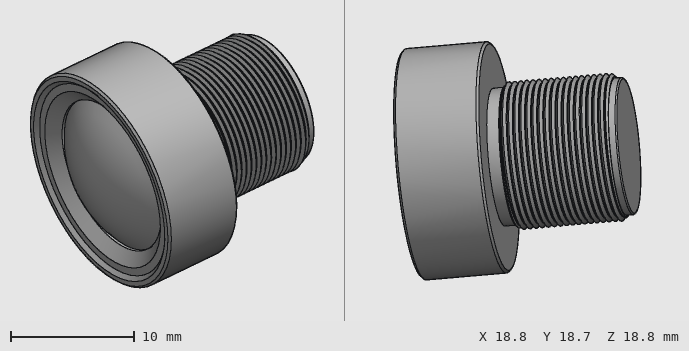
import cadquery as cq
import math


head_length = 7.0
neck_length = 1.0
thread_length = 9.0
stub_length = 0.66
head_rear = head_length
thread_start = head_rear + neck_length
thread_end = thread_start + thread_length
barrel_end = thread_end + stub_length

head_radius = 9.4
head_chamfer = 0.2
neck_radius = 5.6
stub_radius = 5.58
stub_chamfer = 0.12

rim_inner_radius = 8.77
ledge_outer_radius = 8.42
ledge_inner_radius = 7.73
ledge_depth = 0.35
lens_radius = 6.63
lens_seat_height = 0.25

dome_height = 1.0
dome_sphere_radius = 10.0

thread_radius = 6.0
pitch = 0.5
flank_angle = math.radians(30)
thread_depth = 0.6134 * pitch
crest_width = pitch / 8
root_radius = thread_radius - thread_depth
thread_chamfer = 0.3
groove_phase = (barrel_end - thread_start) % pitch


def dome_y(radius):
    """Axial position of the lens surface at a given radius."""
    sphere_centre = dome_sphere_radius - dome_height
    return sphere_centre - math.sqrt(dome_sphere_radius**2 - radius**2)


def revolve_about_y(outline):
    return outline.close().revolve(360, (0, 0, 0), (0, 1, 0))


def make_head():
    """Head with its stepped front recess and the domed lens."""
    mid_radius = lens_radius / 2
    lens_edge = dome_y(lens_radius)
    outline = (
        cq.Workplane("XY")
        .moveTo(0, -dome_height)
        .threePointArc((mid_radius, dome_y(mid_radius)), (lens_radius, lens_edge))
        .lineTo(lens_radius, lens_edge - lens_seat_height)
        .lineTo(ledge_inner_radius, ledge_depth)
        .lineTo(ledge_outer_radius, ledge_depth)
        .lineTo(rim_inner_radius, 0)
        .lineTo(head_radius - head_chamfer, 0)
        .lineTo(head_radius, head_chamfer)
        .lineTo(head_radius, head_rear - head_chamfer)
        .lineTo(head_radius - head_chamfer, head_rear)
        .lineTo(0, head_rear)
    )
    return revolve_about_y(outline)


def make_barrel():
    """Neck, chamfered thread blank and rear stub."""
    chamfer_radius = thread_radius - thread_chamfer
    outline = (
        cq.Workplane("XY")
        .moveTo(0, head_rear)
        .lineTo(neck_radius, head_rear)
        .lineTo(neck_radius, thread_start)
        .lineTo(chamfer_radius, thread_start)
        .lineTo(thread_radius, thread_start + thread_chamfer)
        .lineTo(thread_radius, thread_end - thread_chamfer)
        .lineTo(chamfer_radius, thread_end)
        .lineTo(stub_radius, thread_end)
        .lineTo(stub_radius, barrel_end - stub_chamfer)
        .lineTo(stub_radius - stub_chamfer, barrel_end)
        .lineTo(0, barrel_end)
    )
    return revolve_about_y(outline)


def make_thread_groove():
    """Right-handed helical groove that overruns both ends of the thread."""
    overrun = 0.03
    flank_slope = math.tan(flank_angle)
    half_top = (pitch - crest_width) / 2 + overrun * flank_slope
    half_root = (pitch - crest_width) / 2 - thread_depth * flank_slope
    top_radius = thread_radius + overrun
    turns = math.ceil(thread_length / pitch) + 2
    groove_start = thread_start - pitch + groove_phase
    helix = cq.Wire.makeHelix(pitch, turns * pitch, root_radius)
    groove = (
        cq.Workplane("XZ")
        .polyline(
            [
                (root_radius, -half_root),
                (top_radius, -half_top),
                (top_radius, half_top),
                (root_radius, half_root),
            ]
        )
        .close()
        .sweep(cq.Workplane(helix), isFrenet=True)
    )
    return groove.rotate((0, 0, 0), (1, 0, 0), -90).translate((0, groove_start, 0))


result = make_head().union(make_barrel().cut(make_thread_groove()))